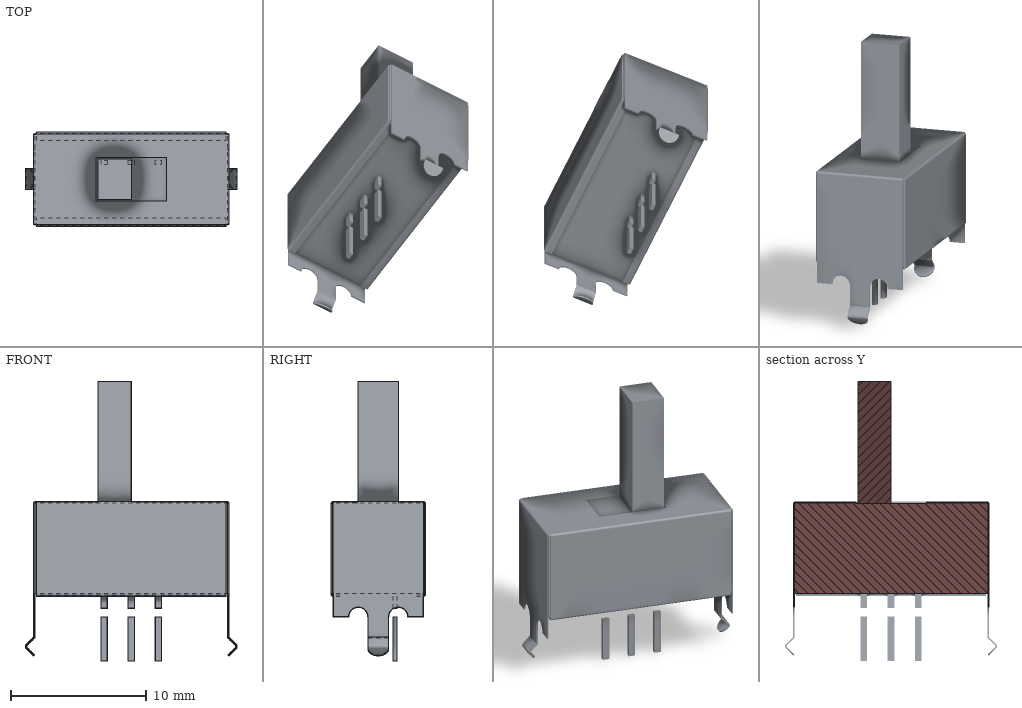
import cadquery as cq
import math


total_height = 20.7
span_over_clips = 15.7

housing_x = 14.5
housing_y = 7.0
housing_z = 7.02
sheet = 0.1
bend_outer = 0.17
long_wall_x = 14.03
end_wall_y = 6.69
base_bottom = 0.2
lip_reach = 0.62
slot_x = 5.2
slot_y = 3.2

tab_drop = 1.51
notch_radius = 0.7
leg_width = 1.55
knee_drop = 3.02
clip_bend_outer = 0.2
bend_half_angle = 45

knob_x = 2.48
knob_y = 3.0
knob_end_gap = 0.12

pin_x = 0.5
pin_y = 0.31
pin_pitch = 2.0
pin_offset_y = 1.25
stub_drop = 0.9
pin_top_drop = 1.51
pin_bottom_drop = 4.78

inner_x = housing_x - 2 * sheet
inner_y = housing_y - 2 * sheet
inner_top = housing_z - sheet
bend_inner = bend_outer - sheet
knob_top = total_height - pin_bottom_drop
pin_positions = [-pin_pitch, 0, pin_pitch]


def block(x, y, z_low, z_high, center=(0, 0)):
    """Upright box between two levels, centred on a point in plan."""
    return (
        cq.Workplane("XY", origin=(center[0], center[1], z_low))
        .box(x, y, z_high - z_low, centered=(True, True, False))
    )


def make_long_walls():
    """Top plate bent down on both long sides and folded in under the base."""
    outer = block(long_wall_x, housing_y, 0, housing_z).edges("|X").fillet(bend_outer)
    inner = block(long_wall_x, inner_y, sheet, inner_top).edges("|X").fillet(bend_inner)
    opening = block(long_wall_x, housing_y - 2 * lip_reach, 0, sheet)
    return outer.cut(inner).cut(opening)


def make_end_walls():
    """Top plate bent down on both ends, with two round notches in each end wall."""
    outer = block(housing_x, end_wall_y, -tab_drop, housing_z)
    outer = outer.edges("|Y and >Z").fillet(bend_outer)
    inner = block(inner_x, end_wall_y, -tab_drop, inner_top)
    inner = inner.edges("|Y and >Z").fillet(bend_inner)
    notch_y = leg_width / 2 + notch_radius
    notches = (
        cq.Workplane("YZ", origin=(0, 0, -tab_drop))
        .pushPoints([(-notch_y, 0), (notch_y, 0)])
        .circle(notch_radius)
        .extrude(housing_x, both=True)
    )
    return outer.cut(inner).cut(notches)


def make_clip_leg():
    """Snap leg of the +X end: straight, slanted out, bent back, round-ended."""
    wall = housing_x / 2
    root_z = -tab_drop
    bend_x = span_over_clips / 2 - clip_bend_outer
    corner_x = bend_x + math.sqrt(2) * clip_bend_outer
    clip_bend_inner = clip_bend_outer - sheet
    bend_z = -knee_drop - (corner_x - wall)
    inner_knee_z = -knee_drop - sheet * (math.sqrt(2) - 1)

    def bend_point(radius, degrees):
        angle = math.radians(degrees)
        return (bend_x + radius * math.cos(angle), bend_z + radius * math.sin(angle))

    strip = (
        cq.Workplane("XZ")
        .moveTo(wall, root_z)
        .lineTo(wall, -knee_drop)
        .lineTo(*bend_point(clip_bend_outer, bend_half_angle))
        .threePointArc(bend_point(clip_bend_outer, 0), bend_point(clip_bend_outer, -bend_half_angle))
        .lineTo(*bend_point(clip_bend_inner, -bend_half_angle))
        .threePointArc(bend_point(clip_bend_inner, 0), bend_point(clip_bend_inner, bend_half_angle))
        .lineTo(wall - sheet, inner_knee_z)
        .lineTo(wall - sheet, root_z)
        .close()
        .extrude(leg_width / 2, both=True)
    )

    tip_x, tip_z = bend_point(clip_bend_inner, -bend_half_angle)
    tip_plane = cq.Plane(origin=(tip_x, 0, tip_z), xDir=(0, -1, 0), normal=(1, 0, -1))
    tip_radius = leg_width / 2
    tip = (
        cq.Workplane(tip_plane)
        .moveTo(-tip_radius, 0)
        .threePointArc((0, tip_radius), (tip_radius, 0))
        .close()
        .extrude(sheet)
    )
    return strip.union(tip)


def make_housing():
    """One-piece bent shell with a slot in its top and a clip leg at each end."""
    leg = make_clip_leg()
    shell = make_long_walls().union(make_end_walls())
    shell = shell.cut(block(slot_x, slot_y, inner_top, housing_z))
    return shell.union(leg).union(leg.mirror("YZ"))


def make_base():
    """Insulating block that fills the housing."""
    base = block(inner_x, inner_y, base_bottom, inner_top)
    return base.edges("|X or (|Y and >Z)").fillet(bend_inner)


def make_knob():
    """Square knob standing on the base at the -X end of the slot."""
    center_x = -slot_x / 2 + knob_end_gap + knob_x / 2
    return block(knob_x, knob_y, inner_top, knob_top, (center_x, 0))


def make_terminal(x, z_low, z_high):
    """Flat terminal piece; each terminal has a short stub and a separate pin below it."""
    return block(pin_x, pin_y, z_low, z_high, (x, pin_offset_y))


housing = make_housing()
base = make_base()
knob = make_knob()
terminal_stubs = [make_terminal(x, -stub_drop, base_bottom) for x in pin_positions]
terminal_pins = [make_terminal(x, -pin_bottom_drop, -pin_top_drop) for x in pin_positions]

result = cq.Compound.makeCompound(
    [housing.val(), base.val(), knob.val()]
    + [stub.val() for stub in terminal_stubs]
    + [pin.val() for pin in terminal_pins]
)